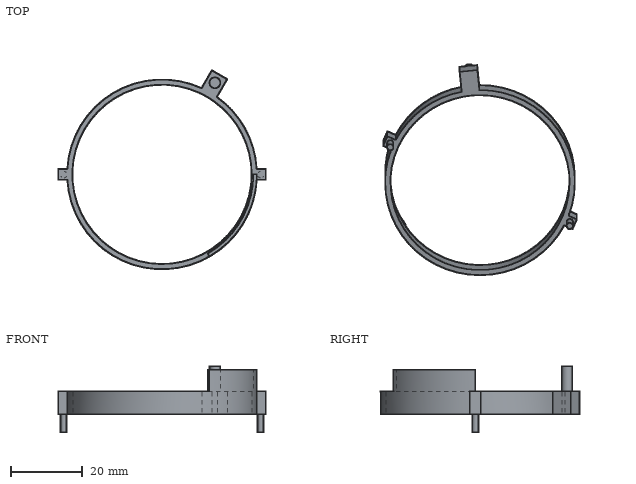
import cadquery as cq

ring_outer_radius = 26.5
ring_inner_radius = 25.0
ring_height = 6.5

wall_thickness = 1.0
wall_height = 6.05
wall_sweep = 60

overall_length = 58
block_size = 3.0
block_centre = overall_length / 2 - block_size / 2
lower_pin_diameter = 1.8
lower_pin_length = 5.0

lug_angle = 60
lug_width = 5.0
lug_reach = 32.15
upper_pin_diameter = 3.0
upper_pin_length = 7.0
upper_pin_radius = 29.5


def arc_wall():
    """Thin wall swept clockwise from the +X axis, standing on the ring."""
    section = (
        cq.Workplane("XZ")
        .moveTo(ring_outer_radius - wall_thickness, ring_height)
        .rect(wall_thickness, wall_height, centered=False)
    )
    return section.revolve(wall_sweep, (0, 0.6, 0), (0, 0, 0))


def side_block(side):
    x = side * block_centre
    block = (
        cq.Workplane("XY", origin=(x, 0, 0))
        .rect(block_size, block_size)
        .extrude(ring_height)
    )
    pin = (
        cq.Workplane("XY", origin=(x, 0, 0))
        .circle(lower_pin_diameter / 2)
        .extrude(-lower_pin_length)
    )
    return block.union(pin)


def angled_lug():
    """Lug built along +X, trimmed to the ring bore, then turned into place."""
    lug = (
        cq.Workplane("XY")
        .box(lug_reach, lug_width, ring_height, centered=(False, True, False))
        .cut(cq.Workplane("XY").circle(ring_inner_radius).extrude(ring_height))
    )
    pin = (
        cq.Workplane("XY", origin=(upper_pin_radius, 0, ring_height))
        .circle(upper_pin_diameter / 2)
        .extrude(upper_pin_length)
    )
    return lug.union(pin).rotate((0, 0, 0), (0, 0, 1), lug_angle)


result = (
    cq.Workplane("XY")
    .circle(ring_outer_radius)
    .circle(ring_inner_radius)
    .extrude(ring_height)
)
result = result.union(arc_wall()).union(angled_lug())
for side in (-1, 1):
    result = result.union(side_block(side))